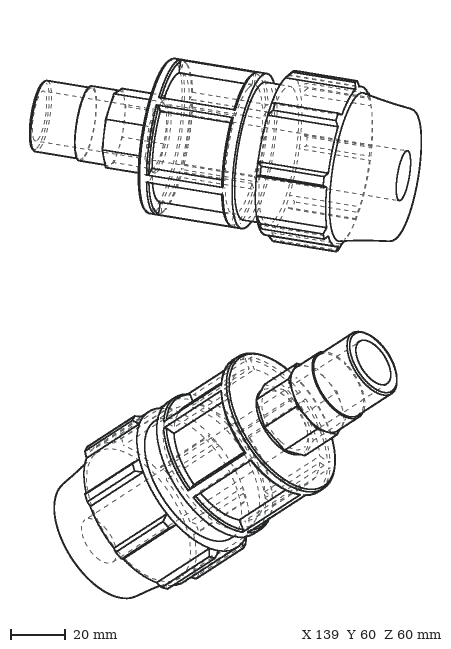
import cadquery as cq
import math

total_length = 139.0
bore_dia = 18.5

spigot_dia = 26.4
spigot_end_chamfer = 0.7
collar_start = 17.7
collar_dia = 27.8
octagon_start = 28.5
octagon_end = 44.9
octagon_sides = 8
octagon_across_flats = 27.8
neck_front_dia = 24.5
neck_rear_dia = 27.5

body_start = 46.1
body_end = 82.1
body_dia = 57.5
rim_chamfer = 0.7
window_start = 50.2
window_end = 78.0
window_floor_dia = 48.1
bar_count = 6
bar_width = 3.2
shoulder_dia = 51.2

nut_start = 91.3
nut_end = 119.0
nut_dia = 59.4
nut_chamfer_length = 0.8
nose_start_dia = 55.0
nose_middle_dia = 51.4
nose_end_dia = 48.9
nose_fillet = 1.7

rib_count = 8
rib_tip_width = 3.3
rib_base_width = 5.3
rib_tip_radius = 31.8
rib_lead_in = 2.0


def cylinder(start, end, diameter):
    """Solid cylinder along X from start to end."""
    return cq.Workplane("YZ", origin=(start, 0, 0)).circle(diameter / 2).extrude(end - start)


def around_axis(shape, count, first_angle):
    """Union of count copies of a shape spread evenly about the X axis."""
    copies = cq.Workplane("YZ")
    for i in range(count):
        angle = first_angle + i * 360 / count
        copies = copies.add(shape.rotate((0, 0, 0), (1, 0, 0), angle))
    return copies.combine()


def make_stem():
    spigot = cylinder(0, collar_start, spigot_dia).faces("<X").chamfer(spigot_end_chamfer)
    collar = cylinder(collar_start, octagon_start, collar_dia)
    across_corners = octagon_across_flats / math.cos(math.pi / octagon_sides)
    octagon = (
        cq.Workplane("YZ", origin=(octagon_start, 0, 0))
        .polygon(octagon_sides, across_corners)
        .extrude(octagon_end - octagon_start)
    )
    neck = (
        cq.Workplane("YZ", origin=(octagon_end, 0, 0))
        .circle(neck_front_dia / 2)
        .workplane(offset=body_start - octagon_end)
        .circle(neck_rear_dia / 2)
        .loft()
    )
    return spigot.union(collar).union(octagon).union(neck)


def make_body():
    core = cylinder(body_start, body_end, window_floor_dia)
    front_rim = cylinder(body_start, window_start, body_dia).edges().chamfer(rim_chamfer)
    rear_rim = cylinder(window_end, body_end, body_dia).edges("<X").chamfer(rim_chamfer)

    bar_start = window_start - rim_chamfer
    bar_end = window_end + rim_chamfer
    bar = (
        cq.Workplane("XY")
        .box(bar_end - bar_start, body_dia / 2, bar_width, centered=(False, False, True))
        .translate((bar_start, 0, 0))
    )
    bars = around_axis(bar, bar_count, 0).intersect(cylinder(bar_start, bar_end, body_dia))
    return core.union(front_rim).union(rear_rim).union(bars)


def make_nut():
    nut_radius = nut_dia / 2
    rib_height = rib_tip_radius - nut_radius
    barrel = cylinder(nut_start, nut_end, nut_dia)

    side_slope = (rib_base_width - rib_tip_width) / 2 / rib_height
    foot_radius = rib_tip_radius - 2 * rib_height
    foot_half_width = rib_tip_width / 2 + 2 * rib_height * side_slope
    rib = (
        cq.Workplane("YZ", origin=(nut_start, 0, 0))
        .polyline([
            (foot_radius, -foot_half_width),
            (rib_tip_radius, -rib_tip_width / 2),
            (rib_tip_radius, rib_tip_width / 2),
            (foot_radius, foot_half_width),
        ])
        .close()
        .extrude(nut_end - nut_start)
    )
    ribs = around_axis(rib, rib_count, 180 / rib_count)

    nose_radius = nose_start_dia / 2
    chamfer_start = nut_end - nut_chamfer_length
    chamfer_slope = nut_chamfer_length / (nut_radius - nose_radius)
    envelope_radius = rib_tip_radius + rib_height
    envelope = (
        cq.Workplane("XY")
        .moveTo(nut_start, 0)
        .lineTo(nut_start, nut_radius)
        .lineTo(nut_start + 2 * rib_lead_in, envelope_radius)
        .lineTo(chamfer_start - 2 * rib_height * chamfer_slope, envelope_radius)
        .lineTo(nut_end, nose_radius)
        .lineTo(nut_end, 0)
        .close()
        .revolve(360, (0, 0, 0), (1, 0, 0))
    )
    return barrel.union(ribs).intersect(envelope)


def make_nose():
    middle = ((nut_end + total_length) / 2, nose_middle_dia / 2)
    return (
        cq.Workplane("XY")
        .moveTo(nut_end, 0)
        .lineTo(nut_end, nose_start_dia / 2)
        .threePointArc(middle, (total_length, nose_end_dia / 2))
        .lineTo(total_length, 0)
        .close()
        .revolve(360, (0, 0, 0), (1, 0, 0))
        .faces(">X")
        .edges()
        .fillet(nose_fillet)
    )


shoulder = cylinder(body_end, nut_start, shoulder_dia)
bore = cylinder(0, total_length, bore_dia)

result = (
    make_stem()
    .union(make_body())
    .union(shoulder)
    .union(make_nut())
    .union(make_nose())
    .cut(bore)
)